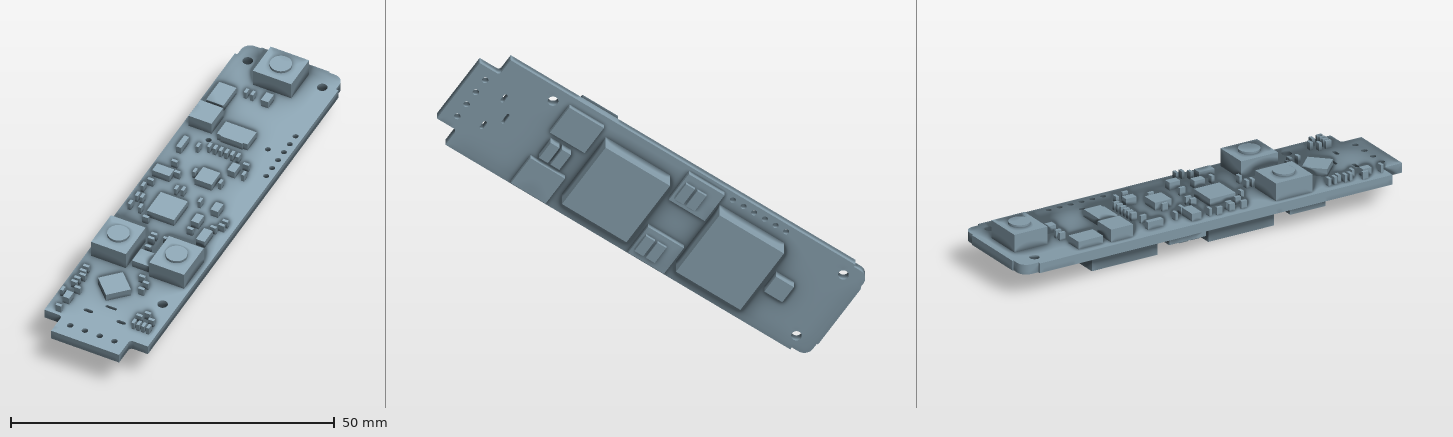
import cadquery as cq
import math

BOARD_LENGTH = 71.1
BOARD_WIDTH = 18.0
BOARD_THICKNESS = 1.6

HALF_LENGTH = BOARD_LENGTH / 2
HALF_WIDTH = BOARD_WIDTH / 2

TAB_HALF_WIDTH = 5.9
TAB_LENGTH = 3.7
TAB_INNER_RADIUS = 0.6
TOP_STEP = 0.2
SHOULDER_INSET = 0.4
SHOULDER_LENGTH = 3.05
CORNER_RADIUS = 1.6
PICK_MARGIN = 0.1

MOUNT_HOLE_DIAMETER = 1.6
MOUNT_HOLES = [(-6.5, 31.9), (6.5, 31.9), (6.7, -22.4)]

HEADER_HOLE_DIAMETER = 0.9
HEADER_HOLE_COUNT = 6
HEADER_PITCH = 2.0
HEADER_CENTER = (7.8, 15.35)

TAB_HOLE_DIAMETER = 1.0
TAB_HOLE_COUNT = 4
TAB_HOLE_PITCH = 2.55
TAB_HOLE_CENTER = (0.0, -33.1)

PEG_HOLE_DIAMETER = 0.9
PEG_HOLES = [(5.3, 15.8), (-3.8, 13.4)]

CENTER_SLOT = (1.9, 0.5)
CENTER_SLOT_PLACE = (0.0, -26.7)
SIDE_SLOT = (1.55, 0.65)
SIDE_SLOT_PLACES = [(-2.85, -28.9), (2.85, -28.9)]

CHIP_LENGTH = 1.0
CHIP_WIDTH = 0.5
LOW_HEIGHT = 1.3
INDUCTOR_HEIGHT = 2.1

BUTTON_LONG = 6.7
BUTTON_SHORT = 6.05
BUTTON_HEIGHT = 3.0
CAP_DIAMETER = 3.5
CAP_HEIGHT = 0.4
TOP_BUTTON = (0.0, 30.55)
LOWER_BUTTONS = [(-5.05, -14.5), (5.05, -14.5)]

CHIPS_ALONG_X = [
    (4.5, 10.15), (-5.7, 5.75), (-4.2, 3.8), (-7.1, 0.4), (-4.0, -7.3),
    (7.4, -2.55), (7.3, -3.6), (6.4, -4.6), (3.35, -6.55),
    (-1.1, -10.15), (1.1, -10.15), (-1.1, -11.15), (-0.65, -13.0),
    (1.6, -19.4), (2.8, -20.4), (2.8, -21.9),
    (-7.1, -21.3), (-7.1, -22.4), (-6.75, -23.25), (-7.2, -24.2), (-7.2, -25.15),
    (-6.1, -26.15), (-6.9, -31.0), (6.2, -26.3), (5.25, -27.35), (7.3, -27.35),
]
CHIPS_ALONG_Y = [
    (-3.0, 24.7), (-1.85, 24.7), (-4.05, 10.6), (5.1, 8.2), (-1.9, 5.3), (2.8, 4.9),
    (-2.7, 0.65), (-1.6, 0.85), (1.85, -0.2), (-7.6, -1.1), (-7.4, -3.4), (-6.55, -3.4),
    (-7.5, -5.55), (-5.75, -5.55), (-8.0, -27.4),
]

CHIP_ROWS = [((0.0, 11.4), 6, 1.0), ((6.4, -28.9), 4, 0.85)]

CAPACITOR = (1.3, 1.9)
CAPACITOR_PLACES = [(0.6, 24.9), (3.1, 8.6), (4.8, -0.4), (3.35, -4.05)]

PACKAGES = [
    (3.0, 4.5, (-6.1, 22.3)),
    (0.85, 2.8, (-6.55, 10.1)),
    (3.0, 3.0, (0.35, 5.05)),
    (3.0, 1.7, (-6.3, 3.1)),
    (4.7, 4.7, (-2.05, -3.8)),
    (1.5, 2.8, (6.0, -6.9)),
    (3.0, 3.0, (0.15, -15.55)),
    (1.15, 1.55, (-6.7, -28.3)),
]

DIAMOND_SIDE = 4.05
DIAMOND_TURN = 45
DIAMOND_PLACE = (-1.4, -22.9)

INDUCTOR_SIDE = 4.0
INDUCTOR_PLACE = (-6.0, 16.85)

SOCKET_WIDTH = 5.3
SOCKET_DEPTH = 3.05
SOCKET_PLACE = (0.0, 15.6)
SOCKET_LIP_WIDTH = 3.85
SOCKET_LIP = 0.2

HOUSING_SIDE = 12.0
HOUSING_DEPTH = 3.4
HOUSING_PLACES = [(0.0, 15.15), (0.0, -6.1)]

PAD_DEPTH = 1.1
BAR_DEPTH = 1.7
BAR_LENGTH = 3.2
BAR_WIDTH = 1.6
BAR_PITCH = 2.1

LOWER_PAD = (5.3, 6.5)
LOWER_PAD_PLACES = [(-5.75, -16.8), (5.0, -16.8)]
LOWER_BARS_PLACE = (-0.4, -17.2)

UPPER_PAD = (5.5, 6.7)
UPPER_PAD_PLACES = [(-5.7, 5.2), (5.55, 5.2)]
UPPER_BAR_PLACES = [(-5.75, 4.2), (5.25, 4.2)]

JACK = (3.2, 3.35)
JACK_PLACE = (-0.4, 24.6)


def row(center, count, pitch, along_y=False):
    """Evenly spaced points about a centre, along X or along Y."""
    offsets = [(i - (count - 1) / 2) * pitch for i in range(count)]
    if along_y:
        return [(center[0], center[1] + offset) for offset in offsets]
    return [(center[0] + offset, center[1]) for offset in offsets]


def blocks_above(size_x, size_y, height, places):
    """Boxes standing on the top face of the board."""
    plane = cq.Workplane("XY").workplane(offset=BOARD_THICKNESS)
    return plane.pushPoints(places).rect(size_x, size_y).extrude(height)


def blocks_below(size_x, size_y, depth, places):
    """Boxes hanging from the underside of the board."""
    return cq.Workplane("XY").pushPoints(places).rect(size_x, size_y).extrude(-depth)


def board():
    shoulder_x = HALF_WIDTH - SHOULDER_INSET
    edge_y = HALF_LENGTH - TOP_STEP
    shoulder_y = HALF_LENGTH - SHOULDER_LENGTH
    tab_y = -HALF_LENGTH + TAB_LENGTH
    arc_offset = CORNER_RADIUS * (1 - math.cos(math.pi / 4))

    outline = (
        cq.Workplane("XY")
        .moveTo(0, -HALF_LENGTH)
        .lineTo(TAB_HALF_WIDTH, -HALF_LENGTH)
        .lineTo(TAB_HALF_WIDTH, tab_y)
        .lineTo(HALF_WIDTH, tab_y)
        .lineTo(HALF_WIDTH, shoulder_y)
        .lineTo(shoulder_x, shoulder_y)
        .lineTo(shoulder_x, edge_y - CORNER_RADIUS)
        .threePointArc(
            (shoulder_x - arc_offset, edge_y - arc_offset),
            (shoulder_x - CORNER_RADIUS, edge_y),
        )
        .lineTo(TAB_HALF_WIDTH, edge_y)
        .lineTo(TAB_HALF_WIDTH, HALF_LENGTH)
        .lineTo(0, HALF_LENGTH)
        .mirrorY()
        .extrude(BOARD_THICKNESS)
    )
    tab_corners = cq.selectors.BoxSelector(
        (-TAB_HALF_WIDTH - PICK_MARGIN, tab_y - PICK_MARGIN, 0),
        (TAB_HALF_WIDTH + PICK_MARGIN, tab_y + PICK_MARGIN, BOARD_THICKNESS),
    )
    return outline.edges("|Z").edges(tab_corners).fillet(TAB_INNER_RADIUS)


def board_openings():
    header_holes = row(HEADER_CENTER, HEADER_HOLE_COUNT, HEADER_PITCH, along_y=True)
    tab_holes = row(TAB_HOLE_CENTER, TAB_HOLE_COUNT, TAB_HOLE_PITCH)
    hole_groups = [
        (MOUNT_HOLE_DIAMETER, MOUNT_HOLES),
        (HEADER_HOLE_DIAMETER, header_holes),
        (TAB_HOLE_DIAMETER, tab_holes),
        (PEG_HOLE_DIAMETER, PEG_HOLES),
    ]
    slot_groups = [(CENTER_SLOT, [CENTER_SLOT_PLACE]), (SIDE_SLOT, SIDE_SLOT_PLACES)]
    cutters = []
    for diameter, places in hole_groups:
        holes = cq.Workplane("XY").pushPoints(places).circle(diameter / 2)
        cutters.append(holes.extrude(BOARD_THICKNESS))
    for (length, width), places in slot_groups:
        slots = cq.Workplane("XY").pushPoints(places).slot2D(length, width)
        cutters.append(slots.extrude(BOARD_THICKNESS))
    return cutters


def buttons(size_x, size_y, places):
    """Push buttons: a rectangular body with a round cap."""
    bodies = blocks_above(size_x, size_y, BUTTON_HEIGHT, places)
    caps = (
        cq.Workplane("XY")
        .workplane(offset=BOARD_THICKNESS)
        .pushPoints(places)
        .circle(CAP_DIAMETER / 2)
        .extrude(BUTTON_HEIGHT + CAP_HEIGHT)
    )
    return [bodies, caps]


def chips():
    standing = list(CHIPS_ALONG_Y)
    for center, count, pitch in CHIP_ROWS:
        standing += row(center, count, pitch)
    return [
        blocks_above(CHIP_LENGTH, CHIP_WIDTH, LOW_HEIGHT, CHIPS_ALONG_X),
        blocks_above(CHIP_WIDTH, CHIP_LENGTH, LOW_HEIGHT, standing),
    ]


def packages():
    parts = [blocks_above(*CAPACITOR, LOW_HEIGHT, CAPACITOR_PLACES)]
    for size_x, size_y, place in PACKAGES:
        parts.append(blocks_above(size_x, size_y, LOW_HEIGHT, [place]))
    parts.append(blocks_above(INDUCTOR_SIDE, INDUCTOR_SIDE, INDUCTOR_HEIGHT, [INDUCTOR_PLACE]))
    diamond = blocks_above(DIAMOND_SIDE, DIAMOND_SIDE, LOW_HEIGHT, [(0, 0)])
    parts.append(diamond.rotate((0, 0, 0), (0, 0, 1), DIAMOND_TURN).translate(DIAMOND_PLACE))
    return parts


def socket():
    """Connector body and its lip, merged into one smooth-topped block."""
    lip_place = (SOCKET_PLACE[0], SOCKET_PLACE[1] - SOCKET_LIP / 2)
    body = blocks_above(SOCKET_WIDTH, SOCKET_DEPTH, LOW_HEIGHT, [SOCKET_PLACE])
    lip = blocks_above(SOCKET_LIP_WIDTH, SOCKET_DEPTH + SOCKET_LIP, LOW_HEIGHT, [lip_place])
    return [body.union(lip, clean=True)]


def underside():
    bars = row(LOWER_BARS_PLACE, 2, BAR_PITCH, along_y=True)
    for place in UPPER_BAR_PLACES:
        bars += row(place, 2, BAR_PITCH, along_y=True)
    return [
        blocks_below(HOUSING_SIDE, HOUSING_SIDE, HOUSING_DEPTH, HOUSING_PLACES),
        blocks_below(*LOWER_PAD, PAD_DEPTH, LOWER_PAD_PLACES),
        blocks_below(*UPPER_PAD, PAD_DEPTH, UPPER_PAD_PLACES),
        blocks_below(BAR_LENGTH, BAR_WIDTH, BAR_DEPTH, bars),
        blocks_below(*JACK, BAR_DEPTH, [JACK_PLACE]),
    ]


bare_board = board()
for cutter in board_openings():
    bare_board = bare_board.cut(cutter)

components = (
    buttons(BUTTON_LONG, BUTTON_SHORT, [TOP_BUTTON])
    + buttons(BUTTON_SHORT, BUTTON_LONG, LOWER_BUTTONS)
    + chips()
    + packages()
    + socket()
    + underside()
)
component_solids = [solid for part in components for solid in part.solids().vals()]
result = cq.Workplane("XY").newObject([bare_board.val().fuse(*component_solids)])